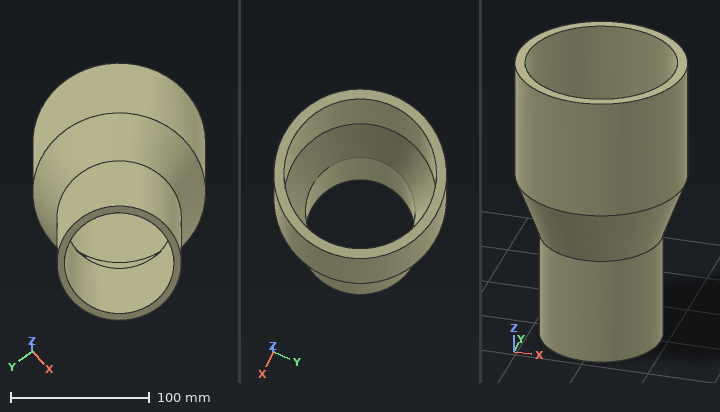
import cadquery as cq

total_height = 222.0
socket_diameter = 125.0
socket_bore = 110.1
spigot_diameter = 90.0
spigot_bore = 79.0
spigot_length = 83.0
cone_length = 47.0

cone_top = spigot_length + cone_length


def stepped_body(lower_diameter, upper_diameter):
    """Solid of revolution about Z: cylinder, cone, wider cylinder."""
    lower_radius = lower_diameter / 2
    upper_radius = upper_diameter / 2
    return (
        cq.Workplane("XZ")
        .moveTo(0, 0)
        .lineTo(lower_radius, 0)
        .lineTo(lower_radius, spigot_length)
        .lineTo(upper_radius, cone_top)
        .lineTo(upper_radius, total_height)
        .lineTo(0, total_height)
        .close()
        .revolve(360, (0, 0, 0), (0, 1, 0))
    )


outside = stepped_body(spigot_diameter, socket_diameter)
bore = stepped_body(spigot_bore, socket_bore)
result = outside.cut(bore)